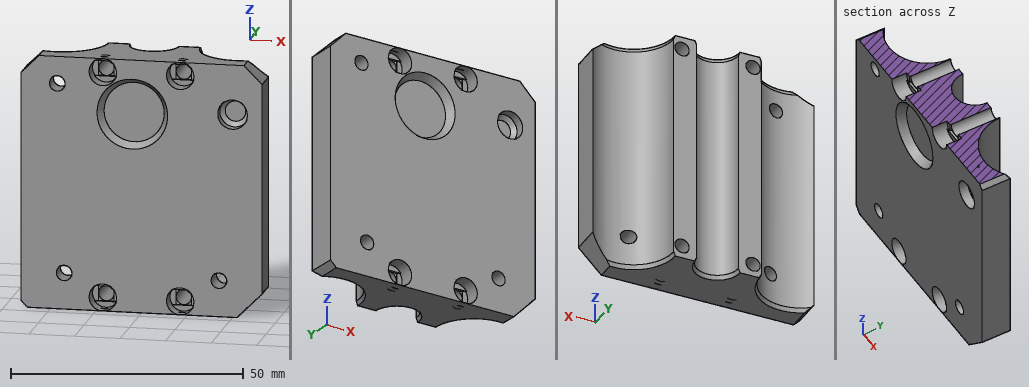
import cadquery as cq

WIDTH = 53.0
THICKNESS = 14.0
HEIGHT = 56.0
TOP_CORNER_CUT = 4.0
BOTTOM_LEFT_CUT = 1.5
BOTTOM_RIGHT_CUT = 5.5

GROOVE_SPACING = 20.0
SIDE_GROOVE_RADIUS = 9.5
MIDDLE_GROOVE_RADIUS = 5.0
GROOVES = [
    (-GROOVE_SPACING, SIDE_GROOVE_RADIUS),
    (0.0, MIDDLE_GROOVE_RADIUS),
    (GROOVE_SPACING, SIDE_GROOVE_RADIUS),
]
GROOVE_FLARE = 0.4
GROOVE_FLARE_LENGTH = 1.0

SCREW_DIAMETER = 3.4
PLAIN_HOLES = [(-18.5, HEIGHT - 6.0), (-17.0, 8.0), (17.0, 8.0)]

BOLT_X = 8.5
BOLT_EDGE_DISTANCE = 3.0
HEAD_DIAMETER = 6.0
HEAD_DEPTH = 3.4
STEP_DEPTH = 0.3
SKIN_THICKNESS = 0.1
SKIN_DEPTH = 2.0

LARGE_POCKET_CENTRE = (-2.0, HEIGHT - 12.0)
LARGE_POCKET_MOUTH = 15.5
LARGE_POCKET_FLOOR = 13.2
LARGE_POCKET_DEPTH = 2.0
SMALL_POCKET_CENTRE = (20.0, HEIGHT - 11.0)
SMALL_POCKET_DIAMETER = 6.5
SMALL_POCKET_STRAIGHT_DEPTH = 2.2
SMALL_POCKET_FLOOR = 4.5
SMALL_POCKET_TAPER_DEPTH = 1.0


def front_plane(x, z, depth=0.0):
    """Workplane at (x, z), sunk by depth behind the front face and facing +Y."""
    plane = cq.Plane(origin=(x, depth, z), xDir=(1, 0, 0), normal=(0, 1, 0))
    return cq.Workplane(plane)


def make_plate():
    right = WIDTH / 2
    left = -right
    outline = [
        (left + BOTTOM_LEFT_CUT, 0),
        (right - BOTTOM_RIGHT_CUT, 0),
        (right, BOTTOM_RIGHT_CUT),
        (right, HEIGHT - TOP_CORNER_CUT),
        (right - TOP_CORNER_CUT, HEIGHT),
        (left + TOP_CORNER_CUT, HEIGHT),
        (left, HEIGHT - TOP_CORNER_CUT),
        (left, BOTTOM_LEFT_CUT),
    ]
    return cq.Workplane("XZ").polyline(outline).close().extrude(-THICKNESS)


def groove_cutter(x, radius):
    """Round bar along Z on the back face, flared to a wider radius at both ends."""
    mouth = radius + GROOVE_FLARE
    half_section = [
        (0, 0),
        (mouth, 0),
        (radius, GROOVE_FLARE_LENGTH),
        (radius, HEIGHT - GROOVE_FLARE_LENGTH),
        (mouth, HEIGHT),
        (0, HEIGHT),
    ]
    profile = cq.Workplane("XZ").polyline(half_section).close()
    return profile.revolve(360, (0, 0, 0), (0, 1, 0)).translate((x, THICKNESS, 0))


def screw_cutter(x, z):
    return front_plane(x, z).circle(SCREW_DIAMETER / 2).extrude(THICKNESS)


def edge_skins(x):
    """Thin strips along the top and bottom edges that stay uncut by the head recesses."""
    strip_offset = (HEIGHT - SKIN_THICKNESS) / 2
    strips = front_plane(x, HEIGHT / 2).pushPoints([(0, -strip_offset), (0, strip_offset)])
    return strips.rect(HEAD_DIAMETER, SKIN_THICKNESS).extrude(SKIN_DEPTH)


def bolt_cutter(x, z):
    head = front_plane(x, z).circle(HEAD_DIAMETER / 2).extrude(HEAD_DEPTH).cut(edge_skins(x))
    slot_bar = front_plane(x, z, HEAD_DEPTH).rect(HEAD_DIAMETER, SCREW_DIAMETER).extrude(STEP_DEPTH)
    slot_round = front_plane(x, z, HEAD_DEPTH).circle(HEAD_DIAMETER / 2).extrude(STEP_DEPTH)
    slot = slot_bar.intersect(slot_round)
    square_start = HEAD_DEPTH + STEP_DEPTH
    square = front_plane(x, z, square_start).rect(SCREW_DIAMETER, SCREW_DIAMETER).extrude(STEP_DEPTH)
    return head.union(slot).union(square).union(screw_cutter(x, z))


def tapered_cutter(centre, start_depth, start_diameter, end_diameter, length):
    start = front_plane(*centre, start_depth).circle(start_diameter / 2)
    return start.workplane(offset=length).circle(end_diameter / 2).loft(ruled=True)


def large_pocket_cutter():
    return tapered_cutter(
        LARGE_POCKET_CENTRE, 0.0, LARGE_POCKET_MOUTH, LARGE_POCKET_FLOOR, LARGE_POCKET_DEPTH
    )


def small_pocket_cutter():
    mouth = front_plane(*SMALL_POCKET_CENTRE).circle(SMALL_POCKET_DIAMETER / 2)
    straight = mouth.extrude(SMALL_POCKET_STRAIGHT_DEPTH)
    taper = tapered_cutter(
        SMALL_POCKET_CENTRE,
        SMALL_POCKET_STRAIGHT_DEPTH,
        SMALL_POCKET_DIAMETER,
        SMALL_POCKET_FLOOR,
        SMALL_POCKET_TAPER_DEPTH,
    )
    return straight.union(taper)


result = make_plate()

for groove_x, groove_radius in GROOVES:
    result = result.cut(groove_cutter(groove_x, groove_radius))

for hole_x, hole_z in PLAIN_HOLES:
    result = result.cut(screw_cutter(hole_x, hole_z))

for bolt_x in (-BOLT_X, BOLT_X):
    for bolt_z in (BOLT_EDGE_DISTANCE, HEIGHT - BOLT_EDGE_DISTANCE):
        result = result.cut(bolt_cutter(bolt_x, bolt_z))

result = result.cut(large_pocket_cutter())
result = result.cut(small_pocket_cutter())